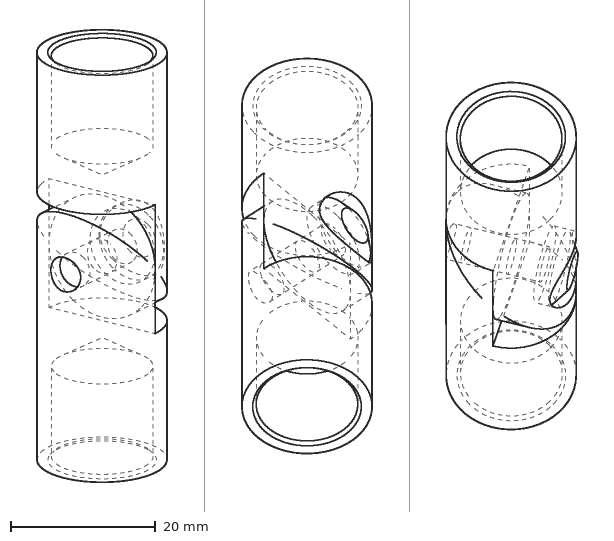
import cadquery as cq
import math

total_length = 60.0
outer_radius = 9.0
hinge_height = total_length / 2
end_gap = 0.5
shoulder_offset = outer_radius + end_gap

bore_radius = 7.0
bore_chamfer = 0.5
bore_depth = 13.8
drill_tip_angle = 118.0
drill_tip_depth = bore_radius / math.tan(math.radians(drill_tip_angle / 2))

shank_radius = 2.5
shank_end_recess = 2.5
head_radius = 5.45
head_face_radius = 2.75
head_face_recess = 0.2
head_taper_depth = 1.9
head_seat = 4.8


def along_y(radius, y_start, y_end):
    """Cylinder on the hinge axis between two Y positions."""
    return (
        cq.Workplane("XZ", origin=(0, y_start, hinge_height))
        .circle(radius)
        .extrude(y_start - y_end)
    )


def socket():
    """Revolved cutter for the chamfered, cone-bottomed socket at the top end."""
    bore_floor = total_length - bore_depth
    return (
        cq.Workplane("XZ")
        .moveTo(0, total_length)
        .lineTo(bore_radius + bore_chamfer, total_length)
        .lineTo(bore_radius, total_length - bore_chamfer)
        .lineTo(bore_radius, bore_floor)
        .lineTo(0, bore_floor - drill_tip_depth)
        .close()
        .revolve(360, (0, 0, 0), (0, 1, 0))
    )


def make_barrel():
    """Upper half: socketed cylinder with a round-ended half-section tongue on the +Y side."""
    shoulder_height = hinge_height + shoulder_offset
    body = (
        cq.Workplane("XY", origin=(0, 0, shoulder_height))
        .circle(outer_radius)
        .extrude(total_length - shoulder_height)
    )
    tongue_profile = (
        cq.Workplane("XZ")
        .moveTo(-outer_radius, shoulder_height)
        .lineTo(-outer_radius, hinge_height)
        .threePointArc((0, hinge_height - outer_radius), (outer_radius, hinge_height))
        .lineTo(outer_radius, shoulder_height)
        .close()
        .extrude(-outer_radius)
    )
    tongue = cq.Workplane("XY").circle(outer_radius).extrude(total_length).intersect(tongue_profile)
    return body.union(tongue).cut(socket())


def make_upper_barrel():
    """Barrel bored for the pin shank and counterbored for its head."""
    shank_hole = along_y(shank_radius, 0, outer_radius)
    head_counterbore = along_y(head_radius, head_seat, outer_radius)
    return make_barrel().cut(shank_hole).cut(head_counterbore)


def make_lower_barrel():
    """Barrel turned half a revolution about X, bored for the pin shank."""
    hinge_start = (0, 0, hinge_height)
    hinge_end = (1, 0, hinge_height)
    turned = make_barrel().rotate(hinge_start, hinge_end, 180)
    return turned.cut(along_y(shank_radius, -outer_radius, 0))


def make_pin():
    """Revolved pin: plain shank and a head that tapers to a small flat face."""
    head_face = outer_radius - head_face_recess
    shank_end = -outer_radius + shank_end_recess
    return (
        cq.Workplane("XY")
        .moveTo(0, shank_end)
        .lineTo(shank_radius, shank_end)
        .lineTo(shank_radius, head_seat)
        .lineTo(head_radius, head_seat)
        .lineTo(head_radius, head_face - head_taper_depth)
        .lineTo(head_face_radius, head_face)
        .lineTo(0, head_face)
        .close()
        .revolve(360, (0, 0, 0), (0, 1, 0))
        .translate((0, 0, hinge_height))
    )


upper_barrel = make_upper_barrel()
lower_barrel = make_lower_barrel()
pin = make_pin()

result = cq.Compound.makeCompound([upper_barrel.val(), lower_barrel.val(), pin.val()])